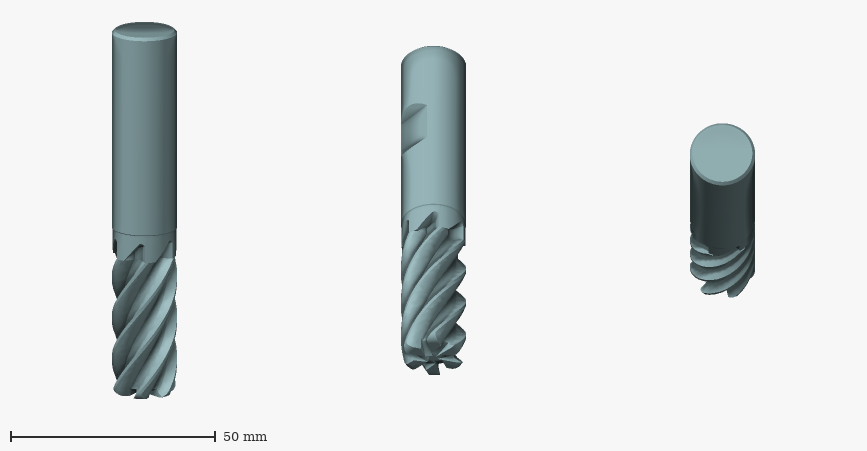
import cadquery as cq
import math

total_length = 92.0
shank_length = 50.0
cutting_length = 35.0
tool_radius = 8.0

neck_radius = 7.8
neck_step = tool_radius - neck_radius
shank_bottom = total_length - shank_length
top_chamfer = 0.7

flat_depth = 1.8
flat_length = 10.0
flat_centre_z = total_length - 24.0

flute_count = 6
flute_pitch = 360.0 / flute_count
helix_lead = 62.0
helix_twist = 360.0 * cutting_length / helix_lead
joint_edge_angle = -90.0
tip_edge_angle = joint_edge_angle - helix_twist
core_radius = 4.9
land_end_angle = 6.5
relief_mid_radius = 7.05
relief_mid_angle = 19.0
flute_floor_start_angle = 31.5
flute_floor_start_radius = 5.1
flute_floor_mid_angle = 43.0
rake_root_radius = 5.6
rake_root_angle = 53.5

corner_radius = 2.1
gash_height = 2.9
gash_roof_width = 1.8
gash_width = 2.5
gash_inner_radius = 1.0
gash_roof_radius = 6.5

runout_height = 4.8
runout_shoulder_height = 4.0
runout_apex_offset = 1.4
runout_width = 6.2
runout_rise_angle = 30.0


def polar(radius, angle):
    """Point at a radius and an angle in degrees."""
    return radius * math.cos(math.radians(angle)), radius * math.sin(math.radians(angle))


def edge_angles(first_angle):
    """Angles of all the cutting edges, given the first one."""
    return [first_angle + i * flute_pitch for i in range(flute_count)]


def fluted_section(first_edge_angle):
    """Closed cross-section of the teeth, one cutting edge lying at the given angle."""
    section = cq.Workplane("XY").moveTo(*polar(tool_radius, first_edge_angle))
    for edge in edge_angles(first_edge_angle):
        section = (
            section
            .threePointArc(polar(tool_radius, edge + land_end_angle / 2),
                           polar(tool_radius, edge + land_end_angle))
            .threePointArc(polar(relief_mid_radius, edge + relief_mid_angle),
                           polar(flute_floor_start_radius, edge + flute_floor_start_angle))
            .threePointArc(polar(core_radius, edge + flute_floor_mid_angle),
                           polar(rake_root_radius, edge + rake_root_angle))
            .lineTo(*polar(tool_radius, edge + flute_pitch))
        )
    return section.close()


def tip_gash(edge_angle):
    """Wedge that opens the tip in front of a cutting edge, growing deeper outwards."""
    slope = math.degrees(math.atan2(gash_height, gash_roof_radius - gash_inner_radius))
    reach = 2 * tool_radius
    wedge = (
        cq.Workplane("YZ")
        .moveTo(0, -reach)
        .lineTo(0, 0)
        .lineTo(-gash_roof_width, 0)
        .lineTo(-gash_width, -gash_height)
        .lineTo(-gash_width, -reach)
        .close()
        .extrude(reach)
    )
    return (
        wedge
        .rotate((0, 0, 0), (0, 1, 0), -slope)
        .translate((gash_inner_radius, 0, 0))
        .rotate((0, 0, 0), (0, 0, 1), edge_angle)
    )


def flute_runout(edge_angle):
    """Prism that ends one flute in the neck: upright at the rake face, sloping down behind.

    It is tipped about the neck surface so that the flute also grows shallower upwards.
    """
    shrink = math.cos(math.radians(runout_rise_angle))
    shoulder = shrink * runout_shoulder_height
    apex = shrink * runout_height
    rounding = (-runout_apex_offset / 3, (shoulder + 3 * apex) / 4)
    return (
        cq.Workplane("YZ", origin=(0, 0, cutting_length))
        .moveTo(0, -tool_radius)
        .lineTo(0, shoulder)
        .threePointArc(rounding, (-runout_apex_offset, apex))
        .lineTo(-runout_width, 0)
        .lineTo(-runout_width, -tool_radius)
        .close()
        .extrude(tool_radius, both=True)
        .rotate((0, 0, cutting_length), (0, 1, cutting_length), -runout_rise_angle)
        .translate((neck_radius, 0, 0))
        .rotate((0, 0, 0), (0, 0, 1), edge_angle)
    )


def make_cutter():
    envelope = (
        cq.Workplane("XY")
        .circle(tool_radius)
        .extrude(cutting_length)
        .faces("<Z")
        .edges()
        .fillet(corner_radius)
    )
    cutter = fluted_section(tip_edge_angle).twistExtrude(cutting_length, helix_twist)
    cutter = cutter.intersect(envelope)
    for angle in edge_angles(tip_edge_angle):
        cutter = cutter.cut(tip_gash(angle))
    return cutter


def make_shank():
    shank = (
        cq.Workplane("YZ")
        .moveTo(0, cutting_length)
        .lineTo(-neck_radius, cutting_length)
        .lineTo(-neck_radius, shank_bottom - neck_step)
        .lineTo(-tool_radius, shank_bottom)
        .lineTo(-tool_radius, total_length - top_chamfer)
        .lineTo(-tool_radius + top_chamfer, total_length)
        .lineTo(0, total_length)
        .close()
        .revolve(360, (0, 0, 0), (0, 1, 0))
    )
    half_floor = flat_length / 2
    half_mouth = half_floor + flat_depth
    flat = (
        cq.Workplane("YZ")
        .moveTo(tool_radius - flat_depth, flat_centre_z - half_floor)
        .lineTo(tool_radius, flat_centre_z - half_mouth)
        .lineTo(tool_radius, flat_centre_z + half_mouth)
        .lineTo(tool_radius - flat_depth, flat_centre_z + half_floor)
        .close()
        .extrude(tool_radius, both=True)
    )
    shank = shank.cut(flat)
    teeth = (
        fluted_section(joint_edge_angle)
        .extrude(runout_height)
        .translate((0, 0, cutting_length))
    )
    for angle in edge_angles(joint_edge_angle):
        shank = shank.cut(flute_runout(angle).cut(teeth))
    return shank


cutter = make_cutter()
shank = make_shank()
result = cq.Compound.makeCompound([cutter.val(), shank.val()])